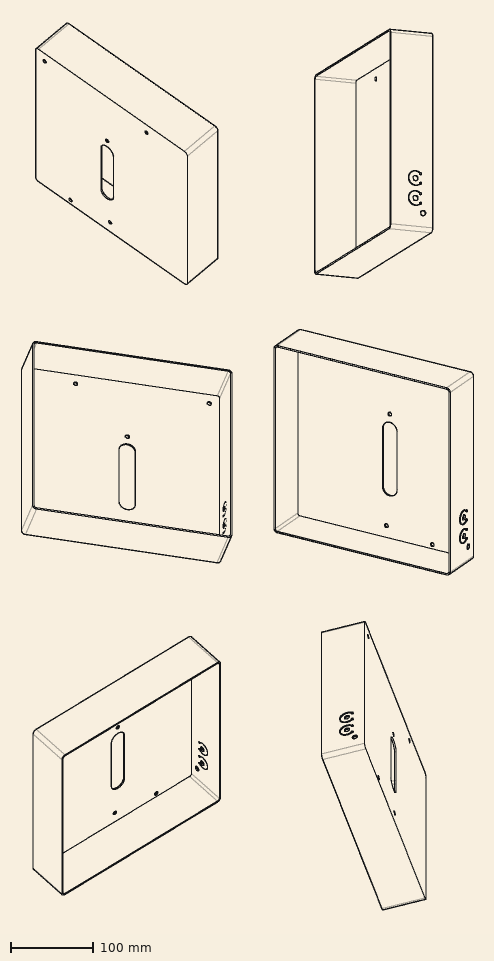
import cadquery as cq
import math

SIDE = 250.0
DEPTH = 55.0
WALL = 2.0
CORNER_RADIUS = 5.0
FRONT_Y = -DEPTH / 2
LEFT_X = -SIDE / 2

SCREW_HOLE_DIAMETER = 5.0
SCREW_HOLES = [(-110.0, 110.0), (57.5, 110.0), (-7.2, 42.5), (-2.5, -107.5), (-67.5, -117.5)]
SLOT_WIDTH = 20.5
SLOT_LENGTH = 98.0
SLOT_CENTER = (-7.2, -17.5)

CONTROL_HOLE_DIAMETER = 6.5
KNOB_Y = -5.0
KNOB_PITCH = 25.0
UPPER_KNOB_Z = -59.5
KNOBS = [(KNOB_Y, UPPER_KNOB_Z), (KNOB_Y, UPPER_KNOB_Z - KNOB_PITCH)]
SOCKET = (-15.0, -102.5)

DIAL_RADIUS = 9.0
DIAL_LINE_WIDTH = 0.5
DIAL_HALF_GAP = math.radians(42)
DIAL_DOT_DIAMETER = 2.5
ENGRAVING_DEPTH = WALL / 2


def open_box():
    outer = cq.Workplane("XY").box(SIDE, DEPTH, SIDE).edges("|Y").fillet(CORNER_RADIUS)
    return outer.faces(">Y").shell(-WALL)


def front_cutters():
    plane = cq.Workplane("XZ", origin=(0, FRONT_Y, 0))
    holes = plane.pushPoints(SCREW_HOLES).circle(SCREW_HOLE_DIAMETER / 2).extrude(-WALL)
    slot = plane.center(*SLOT_CENTER).slot2D(SLOT_LENGTH, SLOT_WIDTH, 90).extrude(-WALL)
    return holes.union(slot)


def left_wall():
    return cq.Workplane("YZ", origin=(LEFT_X, 0, 0))


def control_holes():
    return left_wall().pushPoints(KNOBS + [SOCKET]).circle(CONTROL_HOLE_DIAMETER / 2).extrude(WALL)


def dial_engraving(center):
    def point(radius, angle):
        return (-radius * math.cos(angle), radius * math.sin(angle))

    inner = DIAL_RADIUS - DIAL_LINE_WIDTH / 2
    outer = DIAL_RADIUS + DIAL_LINE_WIDTH / 2
    plane = left_wall().center(*center)
    arc = (
        plane.moveTo(*point(outer, DIAL_HALF_GAP))
        .threePointArc(point(outer, math.pi), point(outer, -DIAL_HALF_GAP))
        .lineTo(*point(inner, -DIAL_HALF_GAP))
        .threePointArc(point(inner, math.pi), point(inner, DIAL_HALF_GAP))
        .close()
        .extrude(ENGRAVING_DEPTH)
    )
    arc_ends = [point(DIAL_RADIUS, side * DIAL_HALF_GAP) for side in (1, -1)]
    dots = plane.pushPoints(arc_ends).circle(DIAL_DOT_DIAMETER / 2).extrude(ENGRAVING_DEPTH)
    return arc.union(dots)


result = open_box().cut(front_cutters()).cut(control_holes())
for knob in KNOBS:
    result = result.cut(dial_engraving(knob))